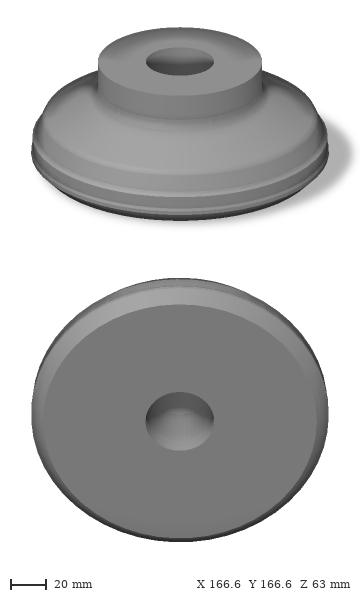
import cadquery as cq

total_height = 63.0
rim_radius = 83.3
body_radius = 165.2 / 2
hub_radius = 92.0 / 2

rim_height = 10.3
rim_bottom_chamfer = 6.7
rim_shoulder_drop = 1.5

band_top = 17.3
skirt_bottom_radius = 80.6
skirt_bottom = 19.0
shoulder_radius = 76.3
shoulder_height = 29.8
hub_base_height = 44.5
skirt_blend_radius = 2.7
shoulder_blend_radius = 4.7
hub_blend_radius = 5.8

bore_radius = 38.1 / 2
relief_radius = 38.5 / 2
bore_depth = 24.8
relief_height = total_height - bore_depth


def circle_edge_at(solid, radius, height):
    """Select the horizontal circular edge of the given radius and height."""
    tolerance = 0.02
    return solid.edges("%CIRCLE").filter(
        lambda edge: abs(edge.radius() - radius) < tolerance
        and abs(edge.Center().z - height) < tolerance
    )


def revolve_profile(points):
    """Revolve a closed (radius, height) outline about the Z axis."""
    return cq.Workplane("XZ").polyline(points).close().revolve(360, (0, 0, 0), (0, 1, 0))


def make_rim():
    """Ring bevelled at the top and bottom of its outer side."""
    shoulder = rim_height - rim_shoulder_drop
    return revolve_profile([
        (relief_radius, 0),
        (rim_radius - rim_bottom_chamfer, 0),
        (rim_radius, rim_bottom_chamfer),
        (rim_radius, shoulder),
        (body_radius, rim_height),
        (relief_radius, rim_height),
    ])


def make_body():
    """Conical body with a cylindrical hub and a stepped bore."""
    body = revolve_profile([
        (relief_radius, rim_height),
        (body_radius, rim_height),
        (body_radius, band_top),
        (skirt_bottom_radius, skirt_bottom),
        (shoulder_radius, shoulder_height),
        (hub_radius, hub_base_height),
        (hub_radius, total_height),
        (bore_radius, total_height),
        (bore_radius, relief_height),
        (relief_radius, relief_height),
    ])
    body = circle_edge_at(body, hub_radius, hub_base_height).fillet(hub_blend_radius)
    body = circle_edge_at(body, shoulder_radius, shoulder_height).fillet(shoulder_blend_radius)
    return circle_edge_at(body, skirt_bottom_radius, skirt_bottom).fillet(skirt_blend_radius)


rim = make_rim()
body = make_body()

result = cq.Compound.makeCompound([rim.val(), body.val()])